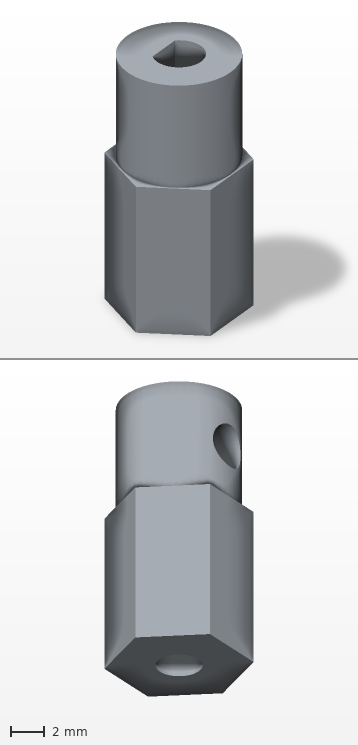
import cadquery as cq
import math

hex_sides = 6
hex_across_flats = 7.7
hex_height = 10.0
hex_across_corners = hex_across_flats / math.cos(math.pi / hex_sides)
hex_turn = 180 / hex_sides

collar_diameter = 7.5
collar_height = 7.0
total_height = hex_height + collar_height

shaft_diameter = 3.2
shaft_flat_offset = 1.1
shaft_depth = collar_height

bore_diameter = 2.8

screw_hole_diameter = 2.8
screw_hole_height = hex_height + collar_height / 2


def make_body():
    hexagon = (
        cq.Workplane("XY")
        .polygon(hex_sides, hex_across_corners)
        .extrude(hex_height)
        .rotate((0, 0, 0), (0, 0, 1), hex_turn)
    )
    collar = (
        cq.Workplane("XY")
        .workplane(offset=hex_height)
        .circle(collar_diameter / 2)
        .extrude(collar_height)
    )
    return hexagon.union(collar)


def make_shaft_socket():
    radius = shaft_diameter / 2
    half_flat = math.sqrt(radius**2 - shaft_flat_offset**2)
    return (
        cq.Workplane("XY")
        .workplane(offset=total_height - shaft_depth)
        .moveTo(-shaft_flat_offset, -half_flat)
        .threePointArc((radius, 0), (-shaft_flat_offset, half_flat))
        .close()
        .extrude(shaft_depth)
    )


def make_lower_bore():
    return cq.Workplane("XY").circle(bore_diameter / 2).extrude(total_height - shaft_depth)


def make_screw_hole():
    """Cylinder along -X, from the part's axis out through the collar wall."""
    return (
        cq.Workplane("YZ")
        .center(0, screw_hole_height)
        .circle(screw_hole_diameter / 2)
        .extrude(-collar_diameter / 2)
    )


result = make_body().cut(make_shaft_socket()).cut(make_lower_bore()).cut(make_screw_hole())